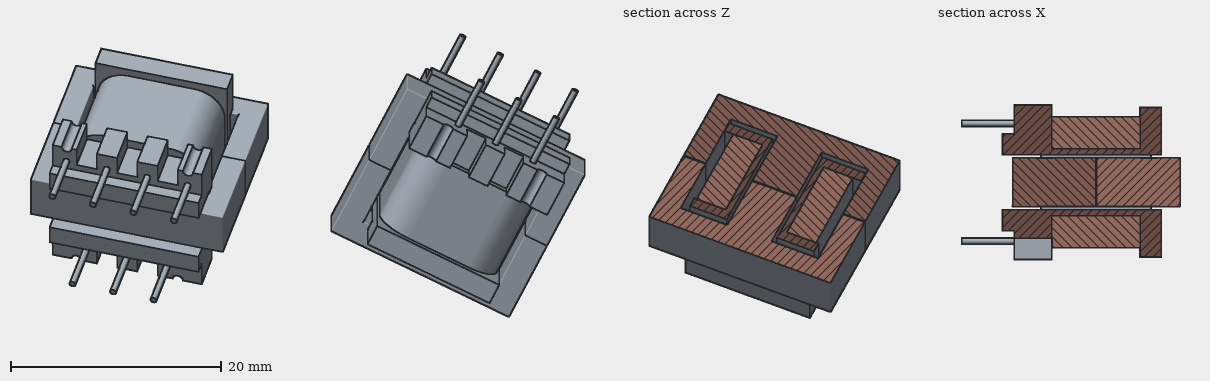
import cadquery as cq


overall_depth = 20.8

core_width = 19.0
core_height = 4.7
core_half_depth = 7.99
yoke_thickness = 2.27
window_half_width = 7.13
middle_leg_width = core_height
core_edge_radius = 0.1

tunnel_size = 5.2
tube_size = 6.45
winding_thickness = 3.04
coil_back = 4.14
coil_front = -4.22

cheek_thickness = 1.06
back_flange_width = 13.0
back_flange_height = 14.23
back_flange_thickness = 2.04
front_flange_size = 14.7
front_flange_thickness = 3.6
lip_length = 1.1
lip_top = 4.62

pin_pitch = 4.0
pin_diameter = 0.6
pin_height = 5.6
pin_tip = core_half_depth - overall_depth
slot_width = 2.0
slot_floor = 5.32
groove_radius = 0.5
top_groove_offset = 1.5 * pin_pitch
bottom_groove_offset = 5.0

front_face = coil_front - front_flange_thickness
top_pin_places = [pin_pitch * step for step in (-1.5, -0.5, 0.5, 1.5)]
bottom_pin_places = [pin_pitch * step for step in (-1, 0, 1)]
top_slot_places = [pin_pitch * step for step in (-1, 0, 1)]
bottom_slot_places = [pin_pitch * step for step in (-0.5, 0.5)]


def block(width, y_start, y_end, z_start, z_end, x_centre=0.0):
    """Box centred on x_centre that spans the given Y and Z ranges."""
    return cq.Workplane("XY").box(
        width, y_end - y_start, z_end - z_start, centered=(True, False, False)
    ).translate((x_centre, y_start, z_start))


def rod(radius, x, z, y_start, y_end):
    """Round bar along Y."""
    return cq.Workplane("XZ", origin=(x, y_start, z)).circle(radius).extrude(y_start - y_end)


def make_core_half():
    """E-shaped half with its legs ending at Y = 0 and its yoke towards +Y."""
    half_height = core_height / 2
    inner_face = core_half_depth - yoke_thickness
    window_width = window_half_width - middle_leg_width / 2
    window_centre = (window_half_width + middle_leg_width / 2) / 2
    core = block(core_width, 0, core_half_depth, -half_height, half_height)
    for side in (-1, 1):
        core = core.cut(
            block(window_width, 0, inner_face, -half_height, half_height, side * window_centre)
        )
    reach = core_edge_radius
    window_corners = cq.selectors.BoxSelector(
        (-window_half_width - reach, inner_face - reach, -reach),
        (window_half_width + reach, inner_face + reach, reach),
    )
    return core.edges(-window_corners).fillet(core_edge_radius)


def make_back_flange():
    """Cheek with an overhanging block above and below the core."""
    half_height = back_flange_height / 2
    flange_end = coil_back + back_flange_thickness
    cheek_end = coil_back + cheek_thickness
    flange = block(back_flange_width, coil_back, flange_end, -half_height, half_height)
    core_gap = block(back_flange_width, cheek_end, flange_end, -tunnel_size / 2, tunnel_size / 2)
    return flange.cut(core_gap)


def make_front_flange():
    """Cheek with a lipped pin block above and below the core."""
    half_size = front_flange_size / 2
    lip_face = front_face - lip_length
    cheek_end = coil_front - cheek_thickness
    flange = block(front_flange_size, front_face, coil_front, -half_size, half_size)
    flange = flange.union(block(front_flange_size, lip_face, front_face, -lip_top, lip_top))
    flange = flange.cut(
        block(front_flange_size, lip_face, cheek_end, -tunnel_size / 2, tunnel_size / 2)
    )

    leg_overlap = front_flange_size / 2 - window_half_width
    leg_centre = window_half_width + leg_overlap / 2
    for side in (-1, 1):
        flange = flange.cut(
            block(leg_overlap, lip_face, coil_front, -core_height / 2, core_height / 2, side * leg_centre)
        )

    for x in top_slot_places:
        flange = flange.cut(block(slot_width, front_face, coil_front, slot_floor, half_size, x))
    for x in bottom_slot_places:
        flange = flange.cut(block(slot_width, front_face, coil_front, -half_size, -slot_floor, x))

    for side in (-1, 1):
        for x, z in ((top_groove_offset, half_size), (bottom_groove_offset, -half_size)):
            flange = flange.cut(rod(groove_radius, side * x, z, coil_front, front_face))
    return flange


def make_bobbin():
    """Square tube, two flanges and the pins as one moulding."""
    tube = block(tube_size, coil_front, coil_back, -tube_size / 2, tube_size / 2)
    bobbin = tube.union(make_back_flange()).union(make_front_flange())
    tunnel = block(
        tunnel_size, front_face, coil_back + back_flange_thickness, -tunnel_size / 2, tunnel_size / 2
    )
    bobbin = bobbin.cut(tunnel)
    pin_root = (coil_front + front_face) / 2
    for places, z in ((top_pin_places, pin_height), (bottom_pin_places, -pin_height)):
        for x in places:
            bobbin = bobbin.union(rod(pin_diameter / 2, x, z, pin_root, pin_tip))
    return bobbin


def make_winding():
    """Even layer of wire around the square tube, so its outer corners are round."""
    outer_size = tube_size + 2 * winding_thickness
    winding = block(outer_size, coil_front, coil_back, -outer_size / 2, outer_size / 2)
    winding = winding.edges("|Y").fillet(winding_thickness)
    return winding.cut(block(tube_size, coil_front, coil_back, -tube_size / 2, tube_size / 2))


core_halves = [make_core_half().rotate((0, 0, 0), (0, 0, 1), angle) for angle in (0, 180)]
bobbin = make_bobbin()
winding = make_winding()

bodies = [*core_halves, bobbin, winding]
result = cq.Compound.makeCompound([body.solids().val() for body in bodies])